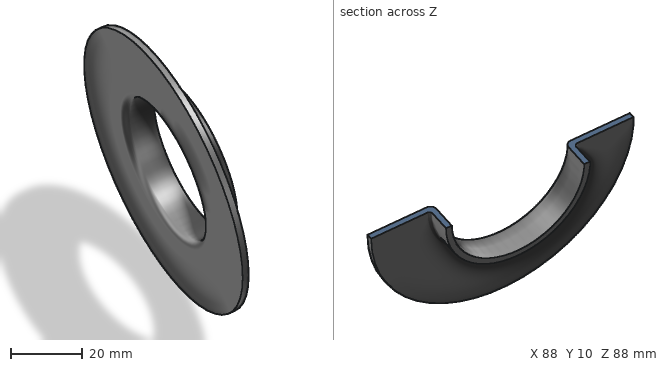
import cadquery as cq

flange_diameter = 88.0
collar_diameter = 48.3
wall = 2.0
height = 10.0
bore_lip_radius = wall
root_fillet_radius = 1.0

flange_radius = flange_diameter / 2
collar_radius = collar_diameter / 2
bore_radius = collar_radius - wall

profile = (
    cq.Workplane("XY")
    .moveTo(bore_radius + bore_lip_radius, 0)
    .lineTo(flange_radius, 0)
    .lineTo(flange_radius, wall)
    .lineTo(collar_radius + root_fillet_radius, wall)
    .radiusArc((collar_radius, wall + root_fillet_radius), root_fillet_radius)
    .lineTo(collar_radius, height)
    .lineTo(bore_radius, height)
    .lineTo(bore_radius, bore_lip_radius)
    .radiusArc((bore_radius + bore_lip_radius, 0), -bore_lip_radius)
    .close()
)

result = profile.revolve(360, (0, 0, 0), (0, 1, 0))